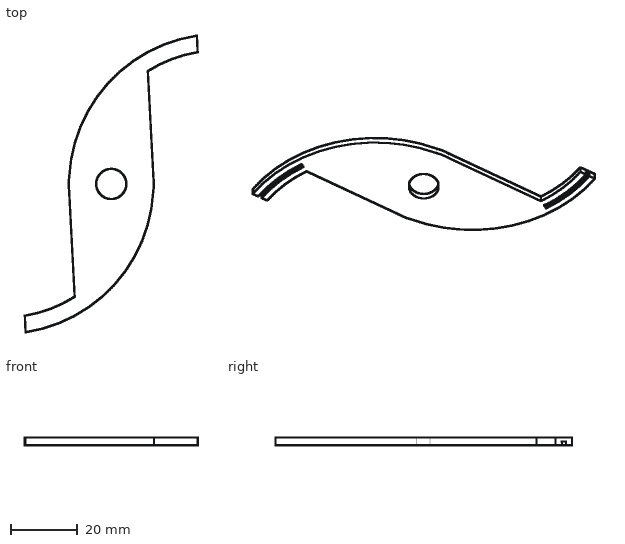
import cadquery as cq
import math

blade_length = 88.7
blade_width = 51.7
thickness = 2.4
bore_diameter = 9.0
hub_radius = 12.8
outer_radius = 45.0
arm_width = 5.0
arc_start_height = 2.1
edge_start_height = 1.9
root_height = 33.7
tip_face_lean = 0.22
groove_width = 1.15
groove_depth = 1.15

inner_radius = outer_radius - arm_width


def hub_point(height):
    """Point on the +X side of the hub round at the given Y."""
    return (math.sqrt(hub_radius**2 - height**2), height)


def opposite(point):
    """Same point on the other half, turned 180 degrees about the bore."""
    return (-point[0], -point[1])


arc_start = opposite(hub_point(-arc_start_height))
tip_inner_x = blade_width / 2
tip_outer = (tip_inner_x - tip_face_lean, blade_length / 2)

chord_x = tip_outer[0] - arc_start[0]
chord_y = tip_outer[1] - arc_start[1]
chord = math.hypot(chord_x, chord_y)
center_offset = math.sqrt(outer_radius**2 - (chord / 2) ** 2)
center_x = (arc_start[0] + tip_outer[0]) / 2 + center_offset * chord_y / chord
center_y = (arc_start[1] + tip_outer[1]) / 2 - center_offset * chord_x / chord


def arc_point(radius, angle):
    """Point on the upper arm's circle; the angle rises from -X toward +Y."""
    return (center_x - radius * math.cos(angle), center_y + radius * math.sin(angle))


start_angle = math.asin((arc_start[1] - center_y) / outer_radius)
tip_angle = math.asin((tip_outer[1] - center_y) / outer_radius)
inner_tip_angle = math.acos((center_x - tip_inner_x) / inner_radius)
root_angle = math.asin((root_height - center_y) / inner_radius)

tip_inner = arc_point(inner_radius, inner_tip_angle)
root = arc_point(inner_radius, root_angle)
outer_mid = arc_point(outer_radius, (start_angle + tip_angle) / 2)
inner_mid = arc_point(inner_radius, (inner_tip_angle + root_angle) / 2)
edge_start = hub_point(edge_start_height)
hub_mid = hub_point(0)


def make_blade():
    """S-shaped plate with a central bore."""
    return (
        cq.Workplane("XY")
        .moveTo(*arc_start)
        .threePointArc(outer_mid, tip_outer)
        .lineTo(*tip_inner)
        .threePointArc(inner_mid, root)
        .lineTo(*edge_start)
        .threePointArc(hub_mid, opposite(arc_start))
        .threePointArc(opposite(outer_mid), opposite(tip_outer))
        .lineTo(*opposite(tip_inner))
        .threePointArc(opposite(inner_mid), opposite(root))
        .lineTo(*opposite(edge_start))
        .threePointArc(opposite(hub_mid), arc_start)
        .close()
        .extrude(thickness)
        .faces(">Z")
        .workplane(origin=(0, 0, thickness))
        .hole(bore_diameter)
    )


def make_groove():
    """Curved groove along the underside of the upper arm, open at its tip."""
    middle_radius = inner_radius + arm_width / 2
    groove_inner = middle_radius - groove_width / 2
    groove_outer = middle_radius + groove_width / 2
    end_angle = math.pi / 2
    mid_angle = (root_angle + end_angle) / 2
    return (
        cq.Workplane("XY")
        .moveTo(*arc_point(groove_outer, root_angle))
        .threePointArc(arc_point(groove_outer, mid_angle), arc_point(groove_outer, end_angle))
        .lineTo(*arc_point(groove_inner, end_angle))
        .threePointArc(arc_point(groove_inner, mid_angle), arc_point(groove_inner, root_angle))
        .close()
        .extrude(groove_depth)
    )


groove = make_groove()
result = make_blade().cut(groove).cut(groove.rotate((0, 0, 0), (0, 0, 1), 180))